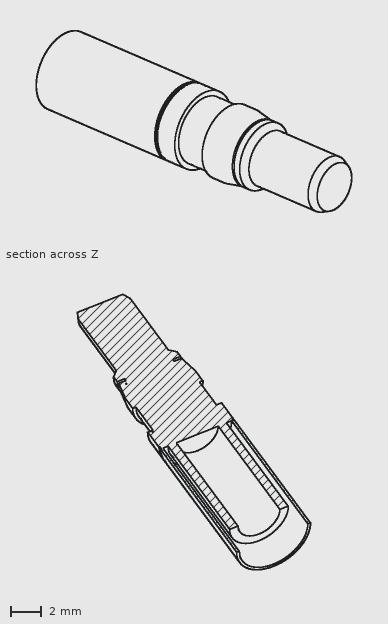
import cadquery as cq

length = 23.7
sleeve_radius = 2.75
neck_radius = 2.37
flange_radius = 2.6
tail_radius = 1.95

sleeve_groove_start = 10.4
sleeve_groove_width = 0.2
sleeve_groove_depth = 0.07
sleeve_end = 12.15

flange_start = 14.43
taper_start = 15.42
taper_end = 16.73
retaining_groove_start = 16.87
retaining_groove_end = 17.0
retaining_groove_radius = 1.8

ring_end = 17.93
ring_chamfer = neck_radius - tail_radius

tip_chamfer_length = 0.57
tip_radius = 1.68

socket_radius = 2.53
socket_end = sleeve_groove_start
tube_outer_radius = 2.18
tube_inner_radius = 1.55
tube_start = 2.0

sleeve_groove_end = sleeve_groove_start + sleeve_groove_width
sleeve_groove_floor = sleeve_radius - sleeve_groove_depth

outer_profile = [
    (0, sleeve_radius),
    (sleeve_groove_start, sleeve_radius),
    (sleeve_groove_start, sleeve_groove_floor),
    (sleeve_groove_end, sleeve_groove_floor),
    (sleeve_groove_end, sleeve_radius),
    (sleeve_end, sleeve_radius),
    (sleeve_end, neck_radius),
    (flange_start, neck_radius),
    (flange_start, flange_radius),
    (taper_start, flange_radius),
    (taper_end, neck_radius),
    (retaining_groove_start, neck_radius),
    (retaining_groove_start, retaining_groove_radius),
    (retaining_groove_end, retaining_groove_radius),
    (retaining_groove_end, neck_radius),
    (ring_end - ring_chamfer, neck_radius),
    (ring_end, tail_radius),
    (length - tip_chamfer_length, tail_radius),
    (length, tip_radius),
]

socket_profile = [
    (0, socket_radius),
    (socket_end, socket_radius),
]

tube_profile = [
    (tube_start, tube_outer_radius),
    (socket_end, tube_outer_radius),
]

bore_profile = [
    (tube_start, tube_inner_radius),
    (socket_end, tube_inner_radius),
]


def revolve_about_x(profile):
    """Close a half section onto the X axis and revolve it a full turn."""
    start = (profile[0][0], 0)
    end = (profile[-1][0], 0)
    section = cq.Workplane("XY").polyline([start] + profile + [end]).close()
    return section.revolve(360, (0, 0, 0), (1, 0, 0))


body = revolve_about_x(outer_profile)
socket = revolve_about_x(socket_profile)
tube = revolve_about_x(tube_profile).cut(revolve_about_x(bore_profile))
result = body.cut(socket).union(tube)